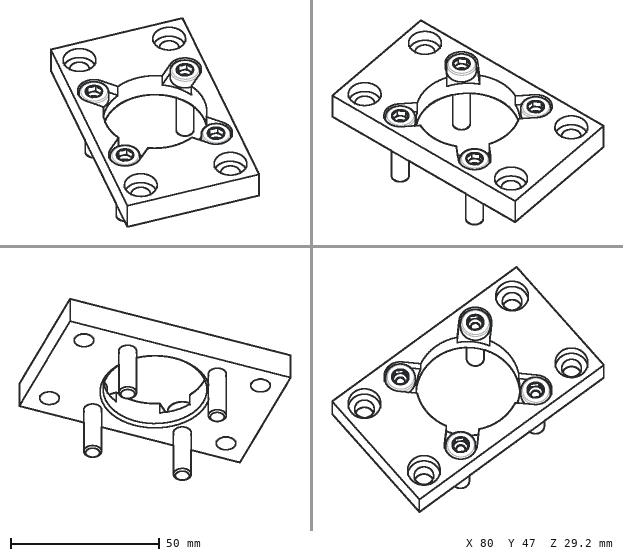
import cadquery as cq
import math

plate_length = 80.0
plate_width = 47.0
plate_thickness = 10.0
bore_diameter = 35.0
bore_chamfer = 1.0

screw_pitch = 32.5
shank_diameter = 6.0
shank_projection = 19.2
tip_chamfer = 0.6
head_diameter = 10.0
head_height = 4.0
head_fillet = 0.5
head_recess = 0.2

hex_across_flats = 5.0
hex_depth = 2.5
hex_lead_in = 0.04
lead_in_slope = math.radians(30)
pilot_diameter = 3.0
pilot_depth = 4.0
drill_half_angle = math.radians(45)

mount_pitch_x = 64.0
mount_pitch_y = 32.0
clearance_diameter = 6.6
counterbore_diameter = 11.0
counterbore_depth = head_height + head_recess

slot_width = counterbore_diameter
slot_depth = counterbore_depth

seat_height = plate_thickness - slot_depth
screw_count = 4
first_screw_angle = 45
screw_radius = screw_pitch / math.sqrt(2)


def make_slot():
    """Round-ended slot along +X, from the plate centre out to the screw axis."""
    run = cq.Workplane("XY").box(screw_radius, slot_width, slot_depth, centered=(False, True, False))
    round_end = cq.Workplane("XY").center(screw_radius, 0).circle(slot_width / 2).extrude(slot_depth)
    return run.union(round_end).translate((0, 0, seat_height))


def make_plate():
    """Rectangular plate with a central bore chamfered at the bottom, corner holes and screw seats."""
    plate = (
        cq.Workplane("XY")
        .box(plate_length, plate_width, plate_thickness, centered=(True, True, False))
        .faces(">Z").workplane()
        .hole(bore_diameter)
        .faces("<Z").edges("%CIRCLE").chamfer(bore_chamfer)
        .faces(">Z").workplane()
        .rect(mount_pitch_x, mount_pitch_y, forConstruction=True)
        .vertices()
        .cboreHole(clearance_diameter, counterbore_diameter, counterbore_depth)
    )
    for index in range(screw_count):
        angle = first_screw_angle + index * 360 / screw_count
        plate = plate.cut(make_slot().rotate((0, 0, 0), (0, 0, 1), angle))
    screw_holes = (
        cq.Workplane("XY")
        .rect(screw_pitch, screw_pitch, forConstruction=True)
        .vertices()
        .circle(shank_diameter / 2)
        .extrude(plate_thickness)
    )
    return plate.cut(screw_holes)


def make_cone(radius, height):
    """Cone on the Z axis with its base at Z = 0 and its point below."""
    profile = cq.Workplane("XZ").polyline([(0, 0), (radius, 0), (0, -height)]).close()
    return profile.revolve(360, (0, 0, 0), (0, 1, 0))


def make_socket():
    """Hexagon socket opening at Z = 0, with a lead-in cone and a conical bottom ending in a pilot hole."""
    flat_radius = hex_across_flats / 2
    corner_radius = flat_radius / math.cos(math.pi / 6)
    pilot_radius = pilot_diameter / 2
    hexagon = cq.Workplane("XY").polygon(6, 2 * corner_radius).extrude(-hex_depth)
    hexagon = hexagon.rotate((0, 0, 0), (0, 0, 1), 30)
    lead_in_radius = corner_radius + hex_lead_in
    lead_in = make_cone(lead_in_radius, lead_in_radius * math.tan(lead_in_slope))
    bottom = make_cone(flat_radius, flat_radius / math.tan(drill_half_angle)).translate((0, 0, -hex_depth))
    pilot = cq.Workplane("XY").circle(pilot_radius).extrude(-pilot_depth)
    point = make_cone(pilot_radius, pilot_radius / math.tan(drill_half_angle)).translate((0, 0, -pilot_depth))
    return hexagon.union(lead_in).union(bottom).union(pilot).union(point)


def make_screw():
    """Screw on the Z axis with its head resting on the seat."""
    shank = (
        cq.Workplane("XY")
        .workplane(offset=-shank_projection)
        .circle(shank_diameter / 2)
        .extrude(shank_projection + seat_height)
        .faces("<Z").chamfer(tip_chamfer)
    )
    head = (
        cq.Workplane("XY")
        .workplane(offset=seat_height)
        .circle(head_diameter / 2)
        .extrude(head_height)
        .faces(">Z or <Z").edges().fillet(head_fillet)
    )
    socket = make_socket().translate((0, 0, seat_height + head_height))
    return shank.union(head).cut(socket)


plate = make_plate()
screws = []
for x_side in (-1, 1):
    for y_side in (-1, 1):
        screw_place = (x_side * screw_pitch / 2, y_side * screw_pitch / 2, 0)
        screws.append(make_screw().translate(screw_place).val())

result = cq.Compound.makeCompound([plate.val(), *screws])